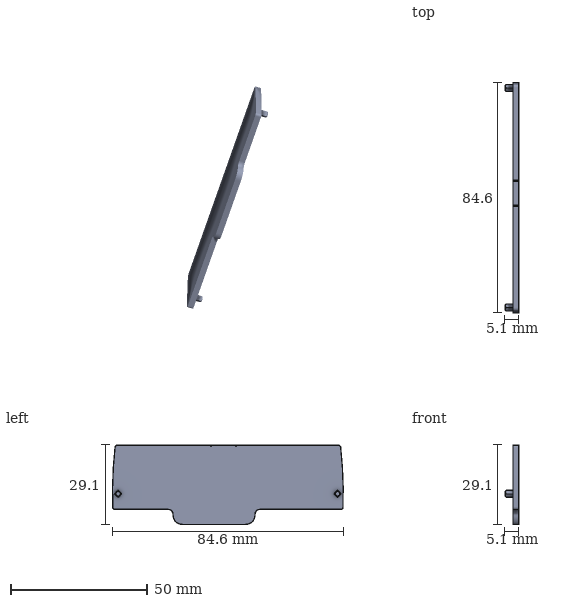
import cadquery as cq
import math

length = 84.6
height = 29.1
thickness = 2.2
shoulder_z = 5.5
widest_z = 11.4
end_radius = 152.35
top_corner_radius = 1.0
bottom_corner_radius = 0.85

tab_y = 5.1
tab_half_width = 15.2
tab_draft = 5.0
tab_corner_radius = 3.4
tab_root_radius = 1.7

pin_length = 2.9
pin_diagonal = 2.6
pin_tip_chamfer = 0.5
pin_y = 40.2
pin_z = 11.25

groove_positions = (6.2, -3.0)
groove_width = 0.5
groove_depth = 0.5


def end_inset(z):
    """Distance the curved plate end has moved inward at height z."""
    return end_radius - math.sqrt(end_radius**2 - (z - widest_z) ** 2)


def make_plate():
    half_length = length / 2
    half_top = half_length - end_inset(height)
    half_shoulder = half_length - end_inset(shoulder_z)
    tab_half_bottom = tab_half_width - shoulder_z * math.tan(math.radians(tab_draft))
    plate = (
        cq.Workplane("YZ")
        .moveTo(tab_y - tab_half_bottom, 0)
        .lineTo(tab_y + tab_half_bottom, 0)
        .lineTo(tab_y + tab_half_width, shoulder_z)
        .lineTo(half_shoulder, shoulder_z)
        .threePointArc((half_length, widest_z), (half_top, height))
        .lineTo(-half_top, height)
        .threePointArc((-half_length, widest_z), (-half_shoulder, shoulder_z))
        .lineTo(tab_y - tab_half_width, shoulder_z)
        .close()
        .extrude(thickness)
    )

    def round_corners(body, center_y, offset, z, radius):
        """Round the pair of edges along X at height z, offset either way from center_y."""
        middle = thickness / 2
        left = cq.selectors.NearestToPointSelector((middle, center_y - offset, z))
        right = cq.selectors.NearestToPointSelector((middle, center_y + offset, z))
        return body.edges("|X").edges(left + right).fillet(radius)

    plate = round_corners(plate, tab_y, tab_half_bottom, 0, tab_corner_radius)
    plate = round_corners(plate, tab_y, tab_half_width, shoulder_z, tab_root_radius)
    plate = round_corners(plate, 0, half_shoulder, shoulder_z, bottom_corner_radius)
    return round_corners(plate, 0, half_top, height, top_corner_radius)


def make_pin(y):
    base = cq.Workplane("YZ", origin=(0, y, pin_z))
    bar = base.polygon(4, pin_diagonal).extrude(-pin_length)
    envelope = base.circle(pin_diagonal / 2).extrude(-pin_length)
    return bar.intersect(envelope.faces("<X").chamfer(pin_tip_chamfer))


def make_groove(y):
    half_width = groove_width / 2
    profile = [(y - half_width, height), (y + half_width, height), (y, height - groove_depth)]
    return cq.Workplane("YZ").polyline(profile).close().extrude(thickness)


result = make_plate()
for side in (-1, 1):
    result = result.union(make_pin(side * pin_y))
for groove_y in groove_positions:
    result = result.cut(make_groove(groove_y))